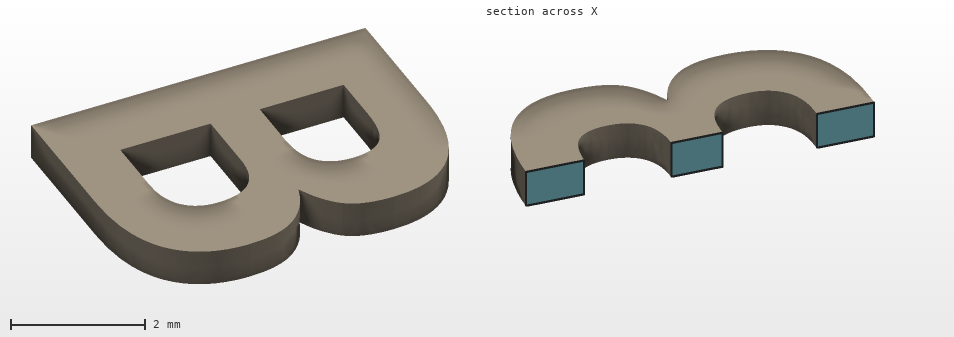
import cadquery as cq

height = 5.53
thickness = 0.6
stem_width = 1.14

upper_bowl_start = 2.05
upper_bowl_right = 3.985
upper_bowl_middle = 4.035
lower_bowl_start = 2.16
lower_bowl_right = 4.11
lower_bowl_middle = 1.59
waist = (3.195, 2.84)

lower_bowl_bottom_control = (3.125, 0)
lower_bowl_lower_control = (lower_bowl_right, 0.82)
lower_bowl_upper_control = (lower_bowl_right, 2.12)
lower_bowl_waist_control = (3.63, 2.72)
upper_bowl_waist_control = (3.6, 3.025)
upper_bowl_lower_control = (upper_bowl_right, 3.53)
upper_bowl_upper_control = (upper_bowl_right, 4.765)
upper_bowl_top_control = (3.02, height)

upper_window_bottom = 3.22
upper_window_top = 4.605
upper_window_right = 2.84
upper_window_middle = 3.925
lower_window_bottom = 0.91
lower_window_top = 2.405
lower_window_right = 2.965
lower_window_middle = 1.63

upper_window_bottom_curve = (2.01, 2.435, 3.585)
upper_window_top_curve = (1.945, 2.47, 4.265)
lower_window_bottom_curve = (2.1, 2.53, 1.3)
lower_window_top_curve = (2.155, 2.565, 2.02)


def midpoint(a, b):
    return ((a[0] + b[0]) / 2, (a[1] + b[1]) / 2)


def add_quarter(outline, first_control, second_control, end):
    """Add two quadratic curves that meet smoothly halfway between their controls."""
    joint = midpoint(first_control, second_control)
    return (
        outline
        .bezier([first_control, joint], includeCurrent=True)
        .bezier([second_control, end], includeCurrent=True)
    )


def make_plate():
    outline = cq.Workplane("XY").lineTo(lower_bowl_start, 0)
    outline = add_quarter(
        outline, lower_bowl_bottom_control, lower_bowl_lower_control, (lower_bowl_right, lower_bowl_middle)
    )
    outline = add_quarter(outline, lower_bowl_upper_control, lower_bowl_waist_control, waist)
    outline = add_quarter(
        outline, upper_bowl_waist_control, upper_bowl_lower_control, (upper_bowl_right, upper_bowl_middle)
    )
    outline = add_quarter(
        outline, upper_bowl_upper_control, upper_bowl_top_control, (upper_bowl_start, height)
    )
    return outline.lineTo(0, height).close().extrude(thickness)


def make_window(bottom, top, right, middle, bottom_curve, top_curve):
    """D-shaped cutter; each curve gives its start X, its level control X and its upright control Y."""
    bottom_start, bottom_control, lower_control = bottom_curve
    top_start, top_control, upper_control = top_curve
    outline = cq.Workplane("XY").moveTo(stem_width, bottom).lineTo(bottom_start, bottom)
    outline = add_quarter(outline, (bottom_control, bottom), (right, lower_control), (right, middle))
    outline = add_quarter(outline, (right, upper_control), (top_control, top), (top_start, top))
    return outline.lineTo(stem_width, top).close().extrude(thickness)


upper_window = make_window(
    upper_window_bottom, upper_window_top, upper_window_right, upper_window_middle,
    upper_window_bottom_curve, upper_window_top_curve,
)
lower_window = make_window(
    lower_window_bottom, lower_window_top, lower_window_right, lower_window_middle,
    lower_window_bottom_curve, lower_window_top_curve,
)

result = make_plate().cut(upper_window).cut(lower_window)